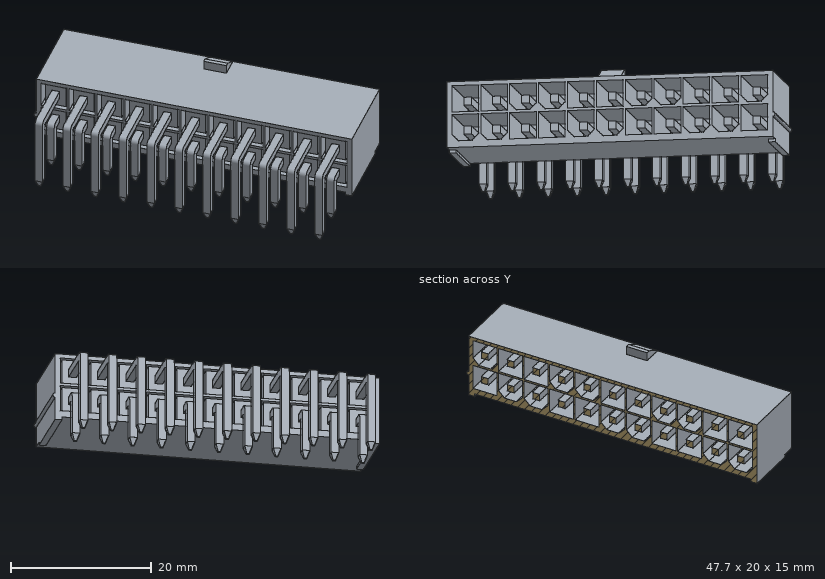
import cadquery as cq


joint_overlap = 0.1

columns = 11
pitch = 4.2

total_length = 47.7
rib_radius = 0.35
housing_length = total_length - rib_radius
housing_depth = 12.8
housing_height = 9.6
foot_height = 0.45
foot_width = 1.0
foot_setback = 1.9
housing_top = foot_height + housing_height
rib_z = 3.67

cavity_width = 3.85
cavity_height = 3.8
roof_thickness = 0.6
web_width = 3.0
web_recess = 0.75
web_thickness = 1.9
key_chamfer = 0.95

latch_width = 3.4
latch_length = 3.05
latch_flat = 0.6
latch_height = 1.35

pin_size = 1.15
pin_bend_radius = 0.7
pin_tip_size = 0.4
pin_tip_length = 1.05
pin_bottom = -3.55
pin_end_setback = 1.9
upper_pin_drop = 2.0
upper_pin_top = housing_top - upper_pin_drop
upper_pin_reach = 7.15
lower_pin_reach = 1.7

column_centers = [(i - (columns - 1) / 2) * pitch for i in range(columns)]
upper_cavity_floor = housing_top - roof_thickness - cavity_height
lower_cavity_floor = upper_cavity_floor - pitch


def block(width, depth, height, x, y, z):
    """Box centred on x, starting at y and z."""
    box = cq.Workplane("XY").box(width, depth, height, centered=(True, False, False))
    return box.translate((x, y, z))


def extrude_along_x(profile, width, x):
    """Extrude a closed YZ profile to a width centred on x."""
    return profile.extrude(width / 2, both=True).translate((x, 0, 0))


def make_shell():
    """Outer housing with its two feet, the side rib and the latch tab."""
    shell = block(housing_length, housing_depth, housing_height, 0, 0, foot_height)

    foot_x = (housing_length - foot_width) / 2
    foot_depth = housing_depth - foot_setback
    for side in (-1, 1):
        foot = block(foot_width, foot_depth, foot_height + joint_overlap, side * foot_x, 0, 0)
        shell = shell.union(foot)

    rib = (
        cq.Workplane("XZ")
        .center(-housing_length / 2, rib_z)
        .circle(rib_radius)
        .extrude(-housing_depth)
    )
    shell = shell.union(rib)

    latch_front = housing_depth - latch_length
    latch_profile = (
        cq.Workplane("YZ")
        .moveTo(latch_front, housing_top - joint_overlap)
        .lineTo(latch_front, housing_top + latch_height)
        .lineTo(latch_front + latch_flat, housing_top + latch_height)
        .lineTo(housing_depth, housing_top)
        .lineTo(housing_depth, housing_top - joint_overlap)
        .close()
    )
    return shell.union(extrude_along_x(latch_profile, latch_width, 0))


def make_cavity(x, floor, keyed):
    """Space removed for one circuit; keyed sockets keep wedges in their lower corners."""
    cavity = block(cavity_width, housing_depth, cavity_height, x, 0, floor)
    web = block(web_width, web_thickness, cavity_height, x, web_recess, floor)
    cavity = cavity.cut(web)

    if keyed:
        socket_start = web_recess + web_thickness
        for side in (-1, 1):
            wall_x = x + side * cavity_width / 2
            wedge = (
                cq.Workplane("XZ", origin=(0, socket_start, 0))
                .moveTo(wall_x, floor)
                .lineTo(wall_x - side * key_chamfer, floor)
                .lineTo(wall_x, floor + key_chamfer)
                .close()
                .extrude(socket_start - housing_depth)
            )
            cavity = cavity.cut(wedge)
    return cavity


def make_pin(x, top, reach):
    """Square pin bent down outside the housing, with a pyramid-shaped solder tip."""
    tail_bottom = pin_bottom + pin_tip_length
    pin_end = housing_depth - pin_end_setback
    profile = (
        cq.Workplane("YZ")
        .moveTo(pin_end, top)
        .lineTo(pin_bend_radius - reach, top)
        .radiusArc((-reach, top - pin_bend_radius), -pin_bend_radius)
        .lineTo(-reach, tail_bottom)
        .lineTo(pin_size - reach, tail_bottom)
        .lineTo(pin_size - reach, top - pin_size)
        .lineTo(pin_end, top - pin_size)
        .close()
    )
    pin = extrude_along_x(profile, pin_size, x)

    tip = (
        cq.Workplane("XY", origin=(x, pin_size / 2 - reach, tail_bottom))
        .rect(pin_size, pin_size)
        .workplane(offset=-pin_tip_length)
        .rect(pin_tip_size, pin_tip_size)
        .loft(ruled=True)
    )
    return pin.union(tip)


shell = make_shell()
pins = []
for i, x in enumerate(column_centers):
    upper_keyed = i % 4 in (0, 3)
    shell = shell.cut(make_cavity(x, upper_cavity_floor, upper_keyed))
    shell = shell.cut(make_cavity(x, lower_cavity_floor, not upper_keyed))
    pins.append(make_pin(x, upper_pin_top, upper_pin_reach))
    pins.append(make_pin(x, upper_pin_top - pitch, lower_pin_reach))

result = shell
for pin in pins:
    result = result.union(pin)